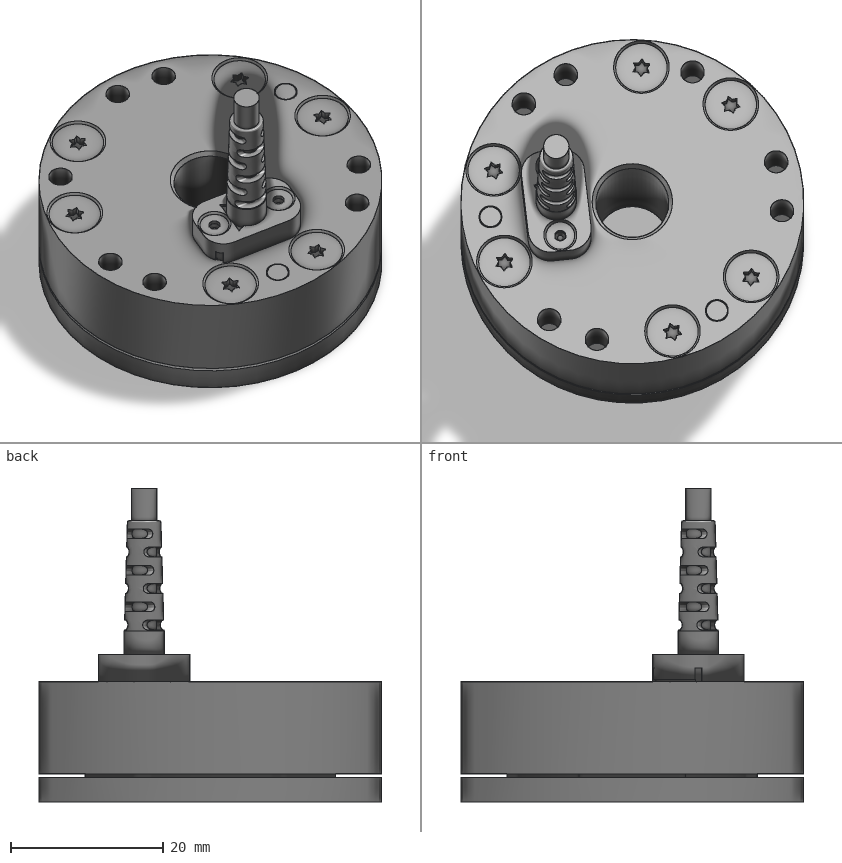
import cadquery as cq
import math

outer_radius = 22.5
plate_top = 3.25
body_bottom = 3.7
body_top = 15.8
bore_radius = 4.75
bore_chamfer = 0.5

spacer_radius = 14.9
lobe_reach = 15.25
lobe_width = 13.95
lobe_fillet = 0.7
lobe_angles = (30, 150, 270)

group_angles = (90, 210, 330)
screw_spread = 20
rim_circle_radius = 18.72
screw_recess_radius = 3.65
screw_recess_depth = 0.25
star_tip_radius = 1.2
star_root_radius = 0.75
star_points = 6
star_depth = 1.35
pin_angles = (90, 330)
pin_radius = 1.5
pin_gap = 0.1
pin_gap_depth = 0.25
hole_angles = (20, 40, 140, 160, 210, 260, 280)
hole_circle_radius = 19.65
hole_radius = 1.55
hole_depth = 6.0

connector_radius = 10.05
connector_angle = -30
base_length = 14.05
base_width = 8.3
base_corner_radius = 2.95
base_height = 3.55
base_top = body_top + base_height
base_screw_offset = 4.75
base_screw_radius = 2.15
base_screw_depth = 0.25
socket_radius = 0.7
socket_tip_radius = 0.35
socket_depth = 0.55
notch_width = 1.0
notch_height = 1.8
notch_depth = 0.35
notch_angle = 51
undercut_height = 0.25
triangle_half_width = 2.65
triangle_edge = 2.5
triangle_depth = 0.35

sleeve_radius = 2.65
sleeve_height = 3.1
sleeve_top = base_top + sleeve_height
boot_bottom_radius = 2.6
boot_top_radius = 2.2
boot_top = 36.9
boot_top_fillet = 0.25
core_radius = 1.6
cable_radius = 1.65
cable_top = 41.15
slot_height = 1.3
slot_count = 6
slot_floor_offset = 1.13
first_slot_z = 23.23
last_slot_z = 35.2
slot_pitch = (last_slot_z - first_slot_z) / (slot_count - 1)


def cylinder(radius, bottom, top):
    return cq.Workplane("XY").workplane(offset=bottom).circle(radius).extrude(top - bottom)


def polar(radius, degrees):
    angle = math.radians(degrees)
    return radius * math.cos(angle), radius * math.sin(angle)


def at_polar(shape, radius, degrees):
    """Move a shape made on the Z axis out along +X, then turn it about Z."""
    return shape.translate((radius, 0, 0)).rotate((0, 0, 0), (0, 0, 1), degrees)


def countersink(radius, depth, top):
    """45 degree conical recess, widest at its top."""
    return cq.Workplane("XY").workplane(offset=top).circle(radius).extrude(-depth, taper=45)


def spacer():
    height = body_bottom - plate_top
    shape = cylinder(spacer_radius, plate_top, body_bottom)
    lobe = (
        cq.Workplane("XY")
        .box(lobe_reach, lobe_width, height, centered=(False, True, False))
        .edges("|Z and >X")
        .fillet(lobe_fillet)
        .translate((0, 0, plate_top))
    )
    for angle in lobe_angles:
        shape = shape.union(lobe.rotate((0, 0, 0), (0, 0, 1), angle))
    half_span = math.degrees(math.asin(lobe_width / 2 / spacer_radius))
    for angle in lobe_angles:
        for side in (-1, 1):
            x, y = polar(spacer_radius, angle + side * half_span)
            corner = (x, y, plate_top + height / 2)
            shape = shape.edges("|Z").edges(cq.NearestToPointSelector(corner)).fillet(lobe_fillet)
    return shape


def screw_recess():
    """Conical recess down to a screw head, with a star socket in the head."""
    recess = countersink(screw_recess_radius, screw_recess_depth, body_top)
    outline = []
    for i in range(2 * star_points):
        radius = star_root_radius if i % 2 else star_tip_radius
        outline.append(polar(radius, i * 180 / star_points))
    star = cq.Workplane("XY").workplane(offset=body_top).polyline(outline).close().extrude(-star_depth)
    return recess.union(star)


def pin_groove():
    return cylinder(pin_radius, body_top - pin_gap_depth, body_top).cut(
        cylinder(pin_radius - pin_gap, body_top - pin_gap_depth, body_top)
    )


def housing():
    shape = cylinder(outer_radius, 0, plate_top).union(spacer())
    shape = shape.union(cylinder(outer_radius, body_bottom, body_top))
    bore = cylinder(bore_radius, 0, body_top)
    bore_edge = countersink(bore_radius + bore_chamfer, bore_chamfer, body_top)
    shape = shape.cut(bore).cut(bore_edge)
    for group in group_angles:
        for side in (-1, 1):
            shape = shape.cut(at_polar(screw_recess(), rim_circle_radius, group + side * screw_spread))
    for angle in pin_angles:
        shape = shape.cut(at_polar(pin_groove(), rim_circle_radius, angle))
    hole = cylinder(hole_radius, body_top - hole_depth, body_top)
    for angle in hole_angles:
        shape = shape.cut(at_polar(hole, hole_circle_radius, angle))
    return shape


def base_block(inset, height):
    """Rounded block along Y, standing on the body around the Z axis."""
    return (
        cq.Workplane("XY")
        .box(base_width - 2 * inset, base_length - 2 * inset, height, centered=(True, True, False))
        .edges("|Z")
        .fillet(base_corner_radius - inset)
        .translate((0, 0, body_top))
    )


def base_screw_recess():
    """Conical recess down to a screw head, with a round, cone-bottomed socket in the head."""
    head_top = base_top - base_screw_depth
    socket_bottom = head_top - socket_depth
    recess = countersink(base_screw_radius, base_screw_depth, base_top)
    socket = cylinder(socket_radius, socket_bottom, head_top)
    cone = countersink(socket_radius, socket_radius - socket_tip_radius, socket_bottom)
    return recess.union(socket).union(cone)


def triangle_pocket():
    """Equilateral pocket under the sleeve, of which two corners stay open."""
    return (
        cq.Workplane("XY")
        .workplane(offset=base_top)
        .moveTo(-triangle_half_width, -triangle_edge)
        .lineTo(triangle_half_width, -triangle_edge)
        .lineTo(0, triangle_half_width * math.sqrt(3) - triangle_edge)
        .close()
        .extrude(-triangle_depth)
    )


def connector_base():
    shape = base_block(0, base_height).cut(triangle_pocket())
    for side in (-1, 1):
        shape = shape.cut(base_screw_recess().translate((0, side * base_screw_offset, 0)))
    corner_x = base_width / 2 - base_corner_radius
    corner_y = base_corner_radius - base_length / 2
    for side in (-1, 1):
        notch = (
            cq.Workplane("XY")
            .box(2 * notch_depth, notch_width, notch_height, centered=(True, True, False))
            .translate((base_corner_radius, 0, body_top))
            .rotate((0, 0, 0), (0, 0, 1), -90 + side * notch_angle)
            .translate((side * corner_x, corner_y, 0))
        )
        shape = shape.cut(notch)
    notch_y = corner_y - base_corner_radius * math.cos(math.radians(notch_angle))
    end_zone = (
        cq.Workplane("XY")
        .box(base_width, base_length, undercut_height, centered=(True, True, False))
        .translate((0, notch_y - base_length / 2, body_top))
    )
    undercut = end_zone.cut(base_block(notch_depth, undercut_height))
    return shape.cut(undercut)


def boot():
    """Tapered boot with pairs of round-bottomed slots, turned a quarter turn from level to level."""
    shape = (
        cq.Workplane("XY")
        .workplane(offset=sleeve_top)
        .circle(boot_bottom_radius)
        .workplane(offset=boot_top - sleeve_top)
        .circle(boot_top_radius)
        .loft()
        .faces(">Z")
        .fillet(boot_top_fillet)
    )
    slot_length = 2 * sleeve_radius
    slot = (
        cq.Workplane("XZ")
        .center(slot_floor_offset + slot_length / 2, 0)
        .slot2D(slot_length, slot_height)
        .extrude(sleeve_radius, both=True)
    )
    for level in range(slot_count):
        turn = 90 * (level % 2)
        for angle in (turn, turn + 180):
            cutter = slot.rotate((0, 0, 0), (0, 0, 1), angle)
            shape = shape.cut(cutter.translate((0, 0, first_slot_z + level * slot_pitch)))
    return shape.union(cylinder(core_radius, sleeve_top, boot_top))


def connector():
    shape = connector_base()
    shape = shape.union(cylinder(sleeve_radius, base_top - triangle_depth, sleeve_top))
    shape = shape.union(boot())
    return shape.union(cylinder(cable_radius, boot_top, cable_top))


result = housing().union(at_polar(connector(), connector_radius, connector_angle))